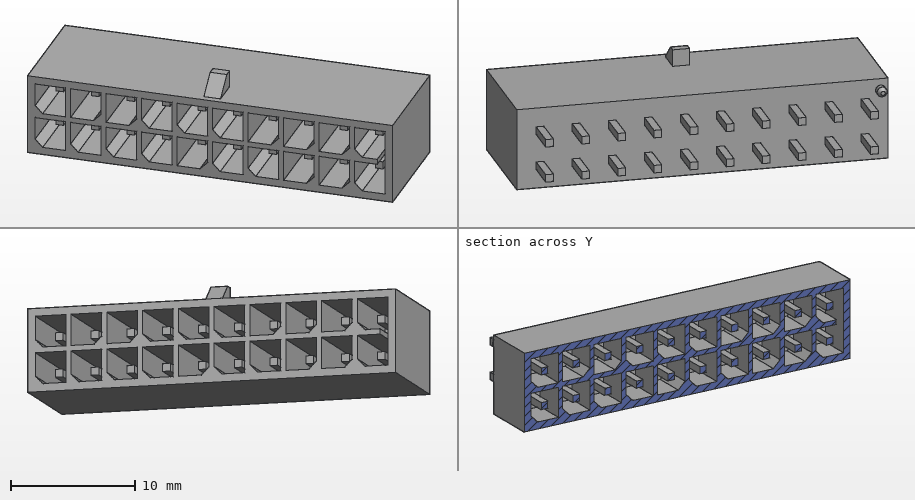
import cadquery as cq

columns = 10
pitch = 3.0
edge_margin = 1.925

total_length = 13.09
total_height = 8.26
body_width = (columns - 1) * pitch + 2 * edge_margin
body_depth = 9.94
body_height = pitch + 2 * edge_margin

cavity_size = 2.56
cavity_depth = 8.0
cavity_bevel = 0.64
divider_gap = 0.65
lower_row_bevels = "LLLLRLLRRL"
upper_row_bevels = "LRRLLLRRRL"

pin_size = 0.64
pin_tip_recess = 2.5

latch_width = 1.41
latch_front = 0.56
latch_back = 2.98
latch_flat = 0.74

peg_diameter = 0.83
peg_tip_diameter = 0.35
peg_length = 0.84
peg_tip_length = 0.34
peg_x = -body_width / 2 + 0.62
peg_z = body_height - 0.97


def column_x(column):
    return (column - (columns - 1) / 2) * pitch


def row_z(row):
    return edge_margin + row * pitch


def block(x_min, x_max, y_min, y_max, z_min, z_max):
    size = (x_max - x_min, y_max - y_min, z_max - z_min)
    return cq.Workplane("XY").box(*size, centered=False).translate((x_min, y_min, z_min))


def cavity(x, z, bevel_side):
    """Square pocket with one bevelled lower corner, running back from the front face."""
    half = cavity_size / 2
    side = -1 if bevel_side == "L" else 1
    outline = [
        (x + side * half, z + half),
        (x - side * half, z + half),
        (x - side * half, z - half),
        (x + side * (half - cavity_bevel), z - half),
        (x + side * half, z - half + cavity_bevel),
    ]
    return cq.Workplane("XZ").polyline(outline).close().extrude(-cavity_depth)


def end_divider_gap():
    """Slot joining the two cavities of the last column along their outer wall."""
    x_max = column_x(columns - 1) + cavity_size / 2
    return block(x_max - divider_gap, x_max, 0, cavity_depth, row_z(0), row_z(1))


def pin(x, z):
    half = pin_size / 2
    return block(x - half, x + half, pin_tip_recess, total_length, z - half, z + half)


def latch():
    """Ramp rising toward the rear, with a short flat crest."""
    profile = [
        (latch_front, body_height),
        (latch_back, body_height),
        (latch_back, total_height),
        (latch_back - latch_flat, total_height),
    ]
    return cq.Workplane("YZ").polyline(profile).close().extrude(latch_width / 2, both=True)


def peg():
    """Round peg with a conical tip."""
    shank_end = body_depth + peg_length - peg_tip_length
    profile = [
        (0, body_depth),
        (peg_diameter / 2, body_depth),
        (peg_diameter / 2, shank_end),
        (peg_tip_diameter / 2, body_depth + peg_length),
        (0, body_depth + peg_length),
    ]
    turned = cq.Workplane("XY").polyline(profile).close().revolve(360, (0, 0, 0), (0, 1, 0))
    return turned.translate((peg_x, 0, peg_z))


body = block(-body_width / 2, body_width / 2, 0, body_depth, 0, body_height)

for row, bevels in enumerate((lower_row_bevels, upper_row_bevels)):
    for column, bevel_side in enumerate(bevels):
        body = body.cut(cavity(column_x(column), row_z(row), bevel_side))
body = body.cut(end_divider_gap())

for row in range(2):
    for column in range(columns):
        body = body.union(pin(column_x(column), row_z(row)))

result = body.union(latch()).union(peg())